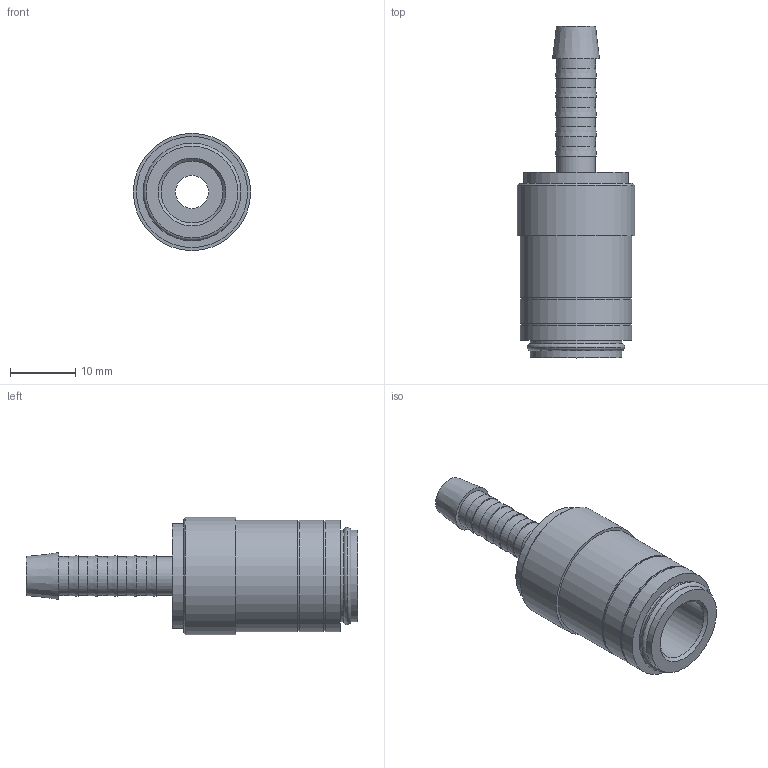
import cadquery as cq


total_length = 51.0
nose_length = 2.7
sleeve_back = 18.75
collar_back = 26.8
flange_back = 28.5
collar_edge_chamfer = 0.3
groove_width = 0.3
groove_depth = 0.1
groove_starts = (5.0, 9.0)

nose_diameter = 14.1
sleeve_diameter = 17.1
collar_diameter = 18.0
flange_diameter = 16.1
stem_diameter = 6.0

ring_diameter = 15.0
wire_radius = 0.55
ring_center = 1.65

tip_head_length = 5.0
tip_head_diameter = 7.2
barb_diameter = 6.3
barb_length = 1.5
barb_pitch = 3.0
barb_count = 5

socket_diameter = 9.5
socket_mouth_diameter = 10.4
socket_depth = 20.0
passage_diameter = 5.1


def cylinder(diameter, start, end):
    """Round bar about the Y axis between two Y positions."""
    return frustum(diameter, diameter, start, end)


def frustum(start_diameter, end_diameter, start, end):
    """Cone frustum (or cylinder) about the Y axis between two Y positions."""
    profile = [(0, start), (start_diameter / 2, start), (end_diameter / 2, end), (0, end)]
    return cq.Workplane("XY").polyline(profile).close().revolve(360, (0, 0, 0), (0, 1, 0))


def make_body():
    """Nose, grooved sleeve, collar and rear flange."""
    collar = cylinder(collar_diameter, sleeve_back, collar_back)
    collar = collar.faces(">Y").edges().chamfer(collar_edge_chamfer)
    body = cylinder(nose_diameter, 0, nose_length)
    body = body.union(cylinder(sleeve_diameter, nose_length, sleeve_back))
    body = body.union(collar)
    body = body.union(cylinder(flange_diameter, collar_back, flange_back))
    groove_floor_diameter = sleeve_diameter - 2 * groove_depth
    for start in groove_starts:
        end = start + groove_width
        groove = cylinder(collar_diameter, start, end).cut(cylinder(groove_floor_diameter, start, end))
        body = body.cut(groove)
    return body


def make_retaining_ring():
    """Round wire ring, partly sunk into the nose."""
    wire_center_radius = ring_diameter / 2 - wire_radius
    section = cq.Workplane("XY").center(wire_center_radius, ring_center).circle(wire_radius)
    return section.revolve(360, (-wire_center_radius, 0, 0), (-wire_center_radius, 1, 0))


def make_hose_stem():
    """Stem with tapered barbs and a larger tapered head at the tip."""
    head_start = total_length - tip_head_length
    stem = cylinder(stem_diameter, flange_back, head_start)
    stem = stem.union(frustum(tip_head_diameter, stem_diameter, head_start, total_length))
    for index in range(barb_count):
        barb_start = head_start - (index + 1) * barb_pitch
        barb_end = barb_start + barb_length
        stem = stem.union(frustum(barb_diameter, stem_diameter, barb_start, barb_end))
    return stem


def make_bore():
    """Socket with a chamfered mouth, followed by the through passage."""
    mouth_chamfer = (socket_mouth_diameter - socket_diameter) / 2
    mouth = frustum(socket_mouth_diameter, socket_diameter, 0, mouth_chamfer)
    socket = cylinder(socket_diameter, 0, socket_depth)
    passage = cylinder(passage_diameter, 0, total_length)
    return mouth.union(socket).union(passage)


solid_part = make_body().union(make_retaining_ring()).union(make_hose_stem())
result = solid_part.cut(make_bore())